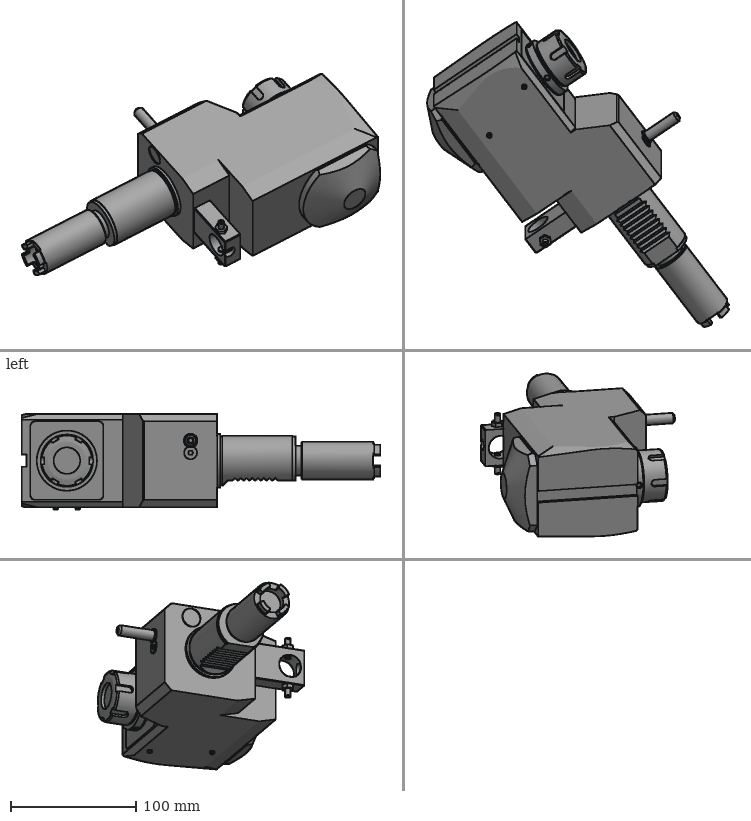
import cadquery as cq
import math


HOUSING_HEIGHT = 74.7
HALF_HEIGHT = HOUSING_HEIGHT / 2
HOUSING_DEPTH = 156.0
BASE_LEFT = -39.5
BASE_RIGHT = 39.2
HEAD_LEFT = -9.2
HEAD_RIGHT = 72.0
STEP_Y = 35.0
SHOULDER_START_Y = 59.5
SHOULDER_END_Y = 75.3
SHOULDER_EDGE_WIDTH = 1.0
SHOULDER_EDGE_LENGTH = 1.5
BASE_CHAMFER = 6.0
HEAD_CHAMFER = 4.5
BASE_SLOPE_WIDTH = 15.5
HEAD_SLOPE_WIDTH = 14.5
SLOPE = math.tan(math.radians(15))

END_ARC_X = 19.2
END_ARC_Y = 118.8
END_ARC_RADIUS = 33.8
END_TURN = math.radians(15)
END_CUT_DEPTH = 7.2

BACK_SLOT_DEPTH = 3.7
BACK_SLOT_HEIGHT = 9.7

SPINDLE_Y = 120.0
PANEL_WIDTH = 58.5
PANEL_HEIGHT = 62.7
PANEL_RADIUS = 4.0
PANEL_DEPTH = 0.3
COLLAR_RADIUS = 24.0
COLLAR_START_X = -16.5
COLLAR_END_X = -10.0
COLLAR_REAR_RADIUS = 23.2
COLLAR_HOLE_X = -13.5
COLLAR_HOLE_RADIUS = 2.3
COLLAR_HOLE_DEPTH = 1.1
COLLAR_HOLES = 4
NUT_RADIUS = 21.0
NUT_NECK_RADIUS = 19.8
NUT_NECK_WIDTH = 1.1
NUT_REAR_CHAMFER = 0.5
NUT_FRONT_RADIUS = 20.0
NUT_CONE_LENGTH = 1.0
NUT_RIM_LENGTH = 2.3
NUT_FACE_RADIUS = 15.2
NUT_FACE_X = -38.6
NUT_BORE_RADIUS = 10.5
NUT_BORE_DEPTH = 3.0
NUT_SLOTS = 6
NUT_SLOT_WIDTH = 5.7
NUT_SLOT_END_X = -24.3
NUT_SLOT_FLOOR = 18.0
CAP_RADIUS = 40.0
CAP_TIP_RADIUS = 10.3
CAP_RIM_X = 78.1
CAP_TIP_X = 92.2
CAP_BACK_Y = 151.5
CAP_GROOVE_WIDTH = 1.5
CAP_GROOVE_HALF_HEIGHT = 32.3

FLANGE_RADIUS = 21.5
FLANGE_END_Y = -2.5
GROOVE_RADIUS = 19.5
GROOVE_END_Y = -4.0
SHANK_RADIUS = 20.0
SHANK_END_Y = -60.0
RING_RADIUS = 19.5
RING_END_Y = -62.7
NECK_RADIUS = 12.0
NECK_END_Y = -67.3
DRIVE_RADIUS = 15.2
DRIVE_CHAMFER = 1.0
DOG_RADIUS = 13.7
DOG_START_Y = -125.5
SHANK_TIP_Y = -130.2
DRIVE_BORE_RADIUS = 10.0
DRIVE_BORE_DEPTH = 11.5
DOG_SLOTS = 4
DOG_SLOT_INNER_WIDTH = 7.5
DOG_SLOT_OUTER_WIDTH = 13.2
DOG_SLOT_FLOOR_Y = -124.5
FLAT_Z = -16.0
FLAT_START_Y = -8.3
TEETH = 8
TOOTH_PITCH = 4.5
TOOTH_DEPTH = 2.0
FIRST_TOOTH_Y = -14.3

PIN_Y = 21.2
PIN_Z = 16.0
PIN_RADIUS = 4.3
PIN_TIP_X = -71.3
PIN_CHAMFER = 1.7
PLUG_Z = 6.3
PIN_COLLAR_RADIUS = 5.5
PIN_COLLAR_RAISE = 1.5
PLUG_RADIUS = 5.2
PLUG_RAISE = 1.0
SOCKET_WIDTH = 4.0
SOCKET_DEPTH = 1.5

RECESS_X = -16.0
RECESS_Z = 27.8
RECESS_RADIUS = 7.7
RECESS_DEPTH = 1.0

BRACKET_END_X = 82.7
BRACKET_FRONT_Y = 1.1
BRACKET_THICKNESS = 15.0
BRACKET_HALF_HEIGHT = 15.2
BRACKET_CHAMFER = 0.5
CROSS_HOLE_RADIUS = 4.5
CLAMP_X = 70.0
CLAMP_HOLE_RADIUS = 9.5
STUD_Y = 6.0
STUD_RADIUS = 2.3
STUD_TIP_Z = 25.2
STUD_INNER_Z = 8.0
STUD_CHAMFER = 0.5
STUD_SOCKET_WIDTH = 3.0
HEX_NUT_WIDTH = 9.7
HEX_NUT_HEIGHT = 3.1

SCREW_POINTS = [(3.0, 128.8), (49.5, 111.4)]
SCREW_RADIUS = 2.0
SCREW_RAISE = 2.0

OVERLAP = 1.5


def cylinder(start, direction, radius, length):
    return cq.Workplane(cq.Solid.makeCylinder(radius, length, cq.Vector(*start), cq.Vector(*direction)))


def block(x_range, y_range, z_range):
    sizes = [high - low for low, high in (x_range, y_range, z_range)]
    corner = (x_range[0], y_range[0], z_range[0])
    return cq.Workplane("XY").box(*sizes, centered=False).translate(corner)


def housing_slice(left, right, chamfer, slope_width, start_y, end_y):
    """Length of housing with chamfered left edges and sloping right edges."""
    drop = slope_width * SLOPE
    upper = [
        (left, HALF_HEIGHT - chamfer),
        (left + chamfer, HALF_HEIGHT),
        (right - slope_width, HALF_HEIGHT),
        (right, HALF_HEIGHT - drop),
    ]
    lower = [(x, -z) for x, z in reversed(upper)]
    section = cq.Workplane("XZ", origin=(0, start_y, 0)).polyline(upper + lower).close()
    return section.extrude(start_y - end_y)


def end_outline(offset):
    """Points of the back end outline: left side, arc, tangent line and right side."""
    radius = END_ARC_RADIUS + offset
    left = END_ARC_X - radius
    right = HEAD_RIGHT + HEAD_SLOPE_WIDTH

    def on_arc(angle):
        return END_ARC_X + radius * math.cos(angle), END_ARC_Y + radius * math.sin(angle)

    arc_end_angle = math.pi / 2 - END_TURN
    arc_end = on_arc(arc_end_angle)
    right_y = arc_end[1] - (right - arc_end[0]) * math.tan(END_TURN)
    return {
        "arc_start": (left, END_ARC_Y),
        "arc_middle": on_arc((math.pi + arc_end_angle) / 2),
        "arc_end": arc_end,
        "right_end": (right, right_y),
        "front_right": (right, SHOULDER_END_Y),
        "front_left": (left, SHOULDER_END_Y),
    }


def draw_end_outline(workplane, offset):
    points = end_outline(offset)
    return (
        workplane.moveTo(*points["arc_start"])
        .threePointArc(points["arc_middle"], points["arc_end"])
        .lineTo(*points["right_end"])
        .lineTo(*points["front_right"])
        .lineTo(*points["front_left"])
        .close()
    )


def end_slope_waste():
    """Material above the sloping back end of the top face."""
    bottom_z = HALF_HEIGHT - END_CUT_DEPTH
    lower = draw_end_outline(cq.Workplane("XY", origin=(0, 0, bottom_z)), END_CUT_DEPTH / SLOPE)
    kept = draw_end_outline(lower.workplane(offset=END_CUT_DEPTH), 0).loft(ruled=True)
    waste = block(
        (HEAD_LEFT, HEAD_RIGHT),
        (END_ARC_Y, HOUSING_DEPTH),
        (bottom_z, HALF_HEIGHT),
    )
    return waste.cut(kept)


def make_housing():
    base = housing_slice(BASE_LEFT, BASE_RIGHT, BASE_CHAMFER, BASE_SLOPE_WIDTH, 0, STEP_Y)
    middle = housing_slice(BASE_LEFT, HEAD_RIGHT, BASE_CHAMFER, HEAD_SLOPE_WIDTH, STEP_Y, SHOULDER_END_Y)
    head = housing_slice(
        HEAD_LEFT, HEAD_RIGHT, HEAD_CHAMFER, HEAD_SLOPE_WIDTH, SHOULDER_END_Y, HOUSING_DEPTH
    )

    shoulder = (
        cq.Workplane("XY")
        .polyline([
            (BASE_LEFT, SHOULDER_START_Y - SHOULDER_EDGE_LENGTH),
            (BASE_LEFT + SHOULDER_EDGE_WIDTH, SHOULDER_START_Y),
            (HEAD_LEFT, SHOULDER_END_Y),
            (BASE_LEFT, SHOULDER_END_Y),
        ])
        .close()
        .extrude(HALF_HEIGHT, both=True)
    )
    waste = end_slope_waste()
    head = head.cut(waste).cut(waste.mirror("XY"))
    back_slot = block(
        (HEAD_LEFT, HEAD_RIGHT),
        (HOUSING_DEPTH - BACK_SLOT_DEPTH, HOUSING_DEPTH),
        (-BACK_SLOT_HEIGHT / 2, BACK_SLOT_HEIGHT / 2),
    )
    recess = cylinder((RECESS_X, 0, RECESS_Z), (0, 1, 0), RECESS_RADIUS, RECESS_DEPTH)
    return base.union(middle.cut(shoulder)).union(head.cut(back_slot)).cut(recess)


def revolve_about_spindle(profile):
    """Revolve (x, radius) points about the spindle axis."""
    return (
        cq.Workplane("XY", origin=(0, SPINDLE_Y, 0))
        .polyline(profile)
        .close()
        .revolve(360, (0, 0, 0), (1, 0, 0))
    )


def panel_recess():
    """Shallow rounded rectangle around the spindle."""
    return (
        cq.Workplane("YZ", origin=(HEAD_LEFT, SPINDLE_Y, 0))
        .rect(PANEL_WIDTH, PANEL_HEIGHT)
        .extrude(PANEL_DEPTH)
        .edges("|X")
        .fillet(PANEL_RADIUS)
    )


def make_spindle():
    neck_x = COLLAR_START_X - NUT_NECK_WIDTH
    body = revolve_about_spindle([
        (HEAD_LEFT + OVERLAP, 0),
        (HEAD_LEFT + OVERLAP, COLLAR_REAR_RADIUS),
        (COLLAR_END_X, COLLAR_REAR_RADIUS),
        (COLLAR_END_X, COLLAR_RADIUS),
        (COLLAR_START_X, COLLAR_RADIUS),
        (COLLAR_START_X, NUT_NECK_RADIUS),
        (neck_x, NUT_NECK_RADIUS),
        (neck_x - NUT_REAR_CHAMFER, NUT_RADIUS),
        (NUT_FACE_X + NUT_RIM_LENGTH, NUT_RADIUS),
        (NUT_FACE_X + NUT_CONE_LENGTH, NUT_FRONT_RADIUS),
        (NUT_FACE_X, NUT_FACE_RADIUS),
        (NUT_FACE_X, 0),
    ])
    bore = cylinder((NUT_FACE_X, SPINDLE_Y, 0), (1, 0, 0), NUT_BORE_RADIUS, NUT_BORE_DEPTH)
    body = body.cut(bore)

    axis_start = (0, SPINDLE_Y, 0)
    axis_end = (1, SPINDLE_Y, 0)
    slot_round = NUT_SLOT_WIDTH / 2
    slot = block(
        (NUT_FACE_X, NUT_SLOT_END_X - slot_round),
        (SPINDLE_Y - slot_round, SPINDLE_Y + slot_round),
        (NUT_SLOT_FLOOR, COLLAR_RADIUS),
    ).union(cylinder(
        (NUT_SLOT_END_X - slot_round, SPINDLE_Y, NUT_SLOT_FLOOR),
        (0, 0, 1),
        slot_round,
        COLLAR_RADIUS - NUT_SLOT_FLOOR,
    ))
    for index in range(NUT_SLOTS):
        angle = (index + 0.5) * 360 / NUT_SLOTS
        body = body.cut(slot.rotate(axis_start, axis_end, angle))

    hole = cylinder(
        (COLLAR_HOLE_X, SPINDLE_Y, COLLAR_RADIUS - COLLAR_HOLE_DEPTH),
        (0, 0, 1),
        COLLAR_HOLE_RADIUS,
        COLLAR_HOLE_DEPTH,
    ).union(
        cq.Workplane("XY", origin=(COLLAR_HOLE_X, SPINDLE_Y, COLLAR_RADIUS - COLLAR_HOLE_DEPTH))
        .polygon(6, SOCKET_WIDTH)
        .extrude(-SOCKET_DEPTH)
    )
    for index in range(COLLAR_HOLES):
        body = body.cut(hole.rotate(axis_start, axis_end, index * 360 / COLLAR_HOLES))
    return body


def make_cap():
    """Conical cap trimmed to the sloping strips of the head and flat at the back."""
    cap = revolve_about_spindle([
        (HEAD_RIGHT - OVERLAP, 0),
        (HEAD_RIGHT - OVERLAP, CAP_RADIUS),
        (CAP_RIM_X, CAP_RADIUS),
        (CAP_TIP_X, CAP_TIP_RADIUS),
        (CAP_TIP_X, 0),
    ])
    slope_start = HEAD_RIGHT - HEAD_SLOPE_WIDTH
    tip_z = HALF_HEIGHT - (CAP_TIP_X - slope_start) * SLOPE
    half_chord = math.sqrt(CAP_RADIUS**2 - CAP_GROOVE_HALF_HEIGHT**2)
    envelope = (
        cq.Workplane("XZ", origin=(0, CAP_BACK_Y, 0))
        .polyline([
            (slope_start, HALF_HEIGHT),
            (CAP_TIP_X, tip_z),
            (CAP_TIP_X, -tip_z),
            (slope_start, -HALF_HEIGHT),
        ])
        .close()
        .extrude(2 * CAP_RADIUS)
    )
    groove = block(
        (HEAD_RIGHT, HEAD_RIGHT + CAP_GROOVE_WIDTH),
        (SPINDLE_Y - half_chord, SPINDLE_Y + half_chord),
        (CAP_GROOVE_HALF_HEIGHT, CAP_RADIUS),
    )
    return cap.intersect(envelope).cut(groove).cut(groove.mirror("XY"))


def make_shank():
    shank = (
        cq.Workplane("XY")
        .polyline([
            (0, OVERLAP),
            (FLANGE_RADIUS, OVERLAP),
            (FLANGE_RADIUS, FLANGE_END_Y),
            (GROOVE_RADIUS, FLANGE_END_Y),
            (GROOVE_RADIUS, GROOVE_END_Y),
            (SHANK_RADIUS, GROOVE_END_Y),
            (SHANK_RADIUS, SHANK_END_Y),
            (RING_RADIUS, SHANK_END_Y),
            (RING_RADIUS, RING_END_Y),
            (NECK_RADIUS, RING_END_Y),
            (NECK_RADIUS, NECK_END_Y),
            (DRIVE_RADIUS - DRIVE_CHAMFER, NECK_END_Y),
            (DRIVE_RADIUS, NECK_END_Y - DRIVE_CHAMFER),
            (DRIVE_RADIUS, DOG_START_Y),
            (DOG_RADIUS, DOG_START_Y),
            (DOG_RADIUS, SHANK_TIP_Y),
            (0, SHANK_TIP_Y),
        ])
        .close()
        .revolve(360, (0, 0, 0), (0, 1, 0))
    )
    bore = cylinder((0, SHANK_TIP_Y, 0), (0, 1, 0), DRIVE_BORE_RADIUS, DRIVE_BORE_DEPTH)
    shank = shank.cut(bore)

    dog_slot = (
        cq.Workplane("XZ", origin=(0, DOG_SLOT_FLOOR_Y, 0))
        .polyline([
            (-DOG_SLOT_INNER_WIDTH / 2, 0),
            (-DOG_SLOT_INNER_WIDTH / 2, DRIVE_BORE_RADIUS),
            (-DOG_SLOT_OUTER_WIDTH / 2, DRIVE_RADIUS),
            (DOG_SLOT_OUTER_WIDTH / 2, DRIVE_RADIUS),
            (DOG_SLOT_INNER_WIDTH / 2, DRIVE_BORE_RADIUS),
            (DOG_SLOT_INNER_WIDTH / 2, 0),
        ])
        .close()
        .extrude(DOG_SLOT_FLOOR_Y - SHANK_TIP_Y)
    )
    for index in range(DOG_SLOTS):
        shank = shank.cut(dog_slot.rotate((0, 0, 0), (0, 1, 0), index * 360 / DOG_SLOTS))

    flat_drop = FLANGE_RADIUS + FLAT_Z
    flat = (
        cq.Workplane("YZ")
        .polyline([
            (RING_END_Y, FLAT_Z),
            (FLAT_START_Y, FLAT_Z),
            (FLAT_START_Y + flat_drop, -FLANGE_RADIUS),
            (RING_END_Y, -FLANGE_RADIUS),
        ])
        .close()
        .extrude(FLANGE_RADIUS, both=True)
    )
    shank = shank.cut(flat)

    tooth_gap = (
        cq.Workplane("YZ")
        .polyline([
            (-TOOTH_PITCH / 2, FLAT_Z),
            (0, FLAT_Z + TOOTH_DEPTH),
            (TOOTH_PITCH / 2, FLAT_Z),
        ])
        .close()
        .extrude(SHANK_RADIUS, both=True)
    )
    for index in range(TEETH):
        shank = shank.cut(tooth_gap.translate((0, FIRST_TOOTH_Y - index * TOOTH_PITCH, 0)))
    return shank


def hex_socket(x, z):
    return (
        cq.Workplane("YZ", origin=(x, PIN_Y, z))
        .polygon(6, SOCKET_WIDTH)
        .extrude(SOCKET_DEPTH)
    )


def make_pin_and_plug():
    plug_face_x = BASE_LEFT - PLUG_RAISE
    pin = cylinder((PIN_TIP_X, PIN_Y, PIN_Z), (1, 0, 0), PIN_RADIUS, BASE_LEFT - PIN_TIP_X + OVERLAP)
    pin = pin.faces("<X").chamfer(PIN_CHAMFER)
    pin = pin.cut(hex_socket(PIN_TIP_X, PIN_Z))
    collar = cylinder(
        (BASE_LEFT - PIN_COLLAR_RAISE, PIN_Y, PIN_Z),
        (1, 0, 0),
        PIN_COLLAR_RADIUS,
        PIN_COLLAR_RAISE + OVERLAP,
    )
    plug = cylinder((plug_face_x, PIN_Y, PLUG_Z), (1, 0, 0), PLUG_RADIUS, PLUG_RAISE + OVERLAP)
    plug = plug.cut(hex_socket(plug_face_x, PLUG_Z))
    return pin.union(collar).union(plug)


def make_bracket():
    end_y = BRACKET_FRONT_Y + BRACKET_THICKNESS
    bar = block(
        (BASE_RIGHT - OVERLAP, BRACKET_END_X),
        (BRACKET_FRONT_Y, end_y),
        (-BRACKET_HALF_HEIGHT, BRACKET_HALF_HEIGHT),
    )
    bar = bar.edges(">X and |Y").chamfer(BRACKET_CHAMFER)
    bar = bar.faces("<Y").edges("not <X").chamfer(BRACKET_CHAMFER)
    hole = cylinder(
        (CLAMP_X, BRACKET_FRONT_Y, 0), (0, 1, 0), CLAMP_HOLE_RADIUS, BRACKET_THICKNESS
    )
    cross_hole = cylinder((CLAMP_X, STUD_Y, 0), (1, 0, 0), CROSS_HOLE_RADIUS, BRACKET_END_X - CLAMP_X)
    bar = bar.cut(hole).cut(cross_hole)

    stud = cylinder((CLAMP_X, STUD_Y, STUD_INNER_Z), (0, 0, 1), STUD_RADIUS, STUD_TIP_Z - STUD_INNER_Z)
    stud = stud.faces(">Z").chamfer(STUD_CHAMFER)
    stud_socket = (
        cq.Workplane("XY", origin=(CLAMP_X, STUD_Y, STUD_TIP_Z))
        .polygon(6, STUD_SOCKET_WIDTH)
        .extrude(-SOCKET_DEPTH)
    )
    stud = stud.cut(stud_socket)
    hex_nut = (
        cq.Workplane("XY", origin=(CLAMP_X, STUD_Y, BRACKET_HALF_HEIGHT))
        .polygon(6, HEX_NUT_WIDTH)
        .extrude(HEX_NUT_HEIGHT)
    )
    clamp = stud.union(hex_nut)
    return bar.union(clamp).union(clamp.mirror("XY"))


def make_screws():
    return (
        cq.Workplane("XY", origin=(0, 0, OVERLAP - HALF_HEIGHT))
        .pushPoints(SCREW_POINTS)
        .circle(SCREW_RADIUS)
        .extrude(-SCREW_RAISE - OVERLAP)
        .faces("<Z")
        .chamfer(SCREW_RADIUS / 2)
    )


result = make_housing().cut(panel_recess())
for feature in (
    make_spindle(),
    make_cap(),
    make_shank(),
    make_pin_and_plug(),
    make_bracket(),
    make_screws(),
):
    result = result.union(feature)